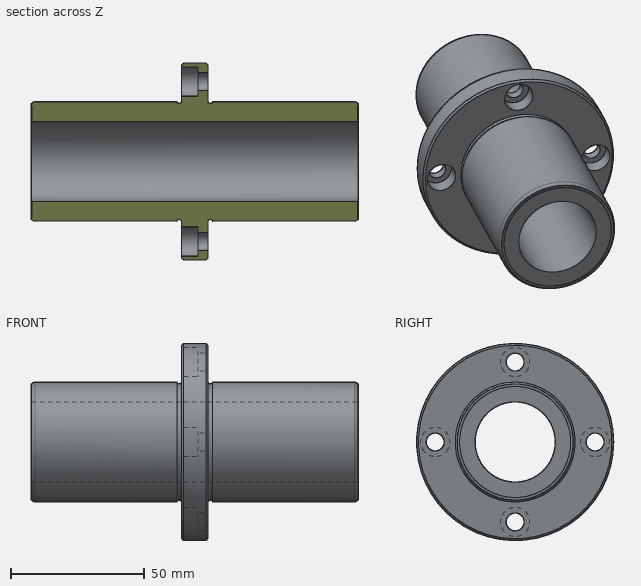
import cadquery as cq
import math

length = 123.0
body_diameter = 45.0
bore_diameter = 30.0

collar_diameter = 43.5
collar_length = 0.2
shoulder_length = 1.4
recess_diameter = 41.7
recess_depth = 0.2

flange_diameter = 74.0
flange_thickness = 10.0
flange_chamfer = 0.7

relief_width = 1.7
relief_depth = 0.6

hole_count = 4
bolt_circle_diameter = 60.0
hole_diameter = 6.6
counterbore_diameter = 11.0
counterbore_depth = 6.2

half_length = length / 2
half_flange = flange_thickness / 2
body_radius = body_diameter / 2


def make_half_body():
    """Revolve the solid half of the tube on the +X side of the flange mid-plane."""
    collar_radius = collar_diameter / 2
    shoulder_drop = body_radius - collar_radius
    shoulder_radius = (shoulder_length**2 + shoulder_drop**2) / (2 * shoulder_drop)
    shoulder_angle = math.asin(shoulder_length / shoulder_radius)
    shoulder_start = half_length - collar_length - shoulder_length
    shoulder_mid = (
        shoulder_start + shoulder_radius * math.sin(shoulder_angle / 2),
        body_radius - shoulder_radius * (1 - math.cos(shoulder_angle / 2)),
    )
    profile = (
        cq.Workplane("XY")
        .lineTo(0, body_radius)
        .lineTo(half_flange, body_radius)
        .threePointArc(
            (half_flange + relief_width / 2, body_radius - relief_depth),
            (half_flange + relief_width, body_radius),
        )
        .lineTo(shoulder_start, body_radius)
        .threePointArc(shoulder_mid, (half_length - collar_length, collar_radius))
        .lineTo(half_length, collar_radius)
        .lineTo(half_length, recess_diameter / 2)
        .lineTo(half_length - recess_depth, recess_diameter / 2)
        .lineTo(half_length - recess_depth, 0)
        .close()
    )
    return profile.revolve(360, (0, 0, 0), (1, 0, 0))


def centred_disc(diameter, thickness):
    """Cylinder along X, centred on the origin."""
    return cq.Workplane("YZ", origin=(-thickness / 2, 0, 0)).circle(diameter / 2).extrude(thickness)


def hole_pattern(diameter, depth):
    """Cylinders on the bolt circle, running in +X from the -X face of the flange."""
    return (
        cq.Workplane("YZ", origin=(-half_flange, 0, 0))
        .polarArray(bolt_circle_diameter / 2, 0, 360, hole_count)
        .circle(diameter / 2)
        .extrude(depth)
    )


half_body = make_half_body()
flange = centred_disc(flange_diameter, flange_thickness).edges("%CIRCLE").chamfer(flange_chamfer)
bushing = flange.union(half_body).union(half_body.mirror("YZ")).clean()
bushing = bushing.cut(centred_disc(bore_diameter, length))
bushing = bushing.cut(hole_pattern(hole_diameter, flange_thickness))
result = bushing.cut(hole_pattern(counterbore_diameter, counterbore_depth))